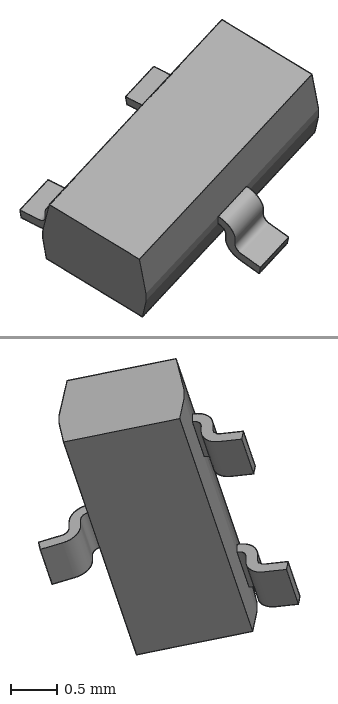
import cadquery as cq
import math

span_x = 2.54
total_height = 1.15

housing_length = 3.1
waist_width = 1.398
top_width = 1.218
bottom_width = 1.3
housing_height = 1.023
upper_height = 0.56

lead_thickness = 0.13
lead_width = 0.508
lead_pitch = 1.897
inner_radius = 0.1
foot_angle = 8.0

waist_top = total_height - upper_height
waist_bottom = waist_top - lead_thickness
housing_bottom = total_height - housing_height
outer_radius = inner_radius + lead_thickness


def make_housing():
    """Block with an upright waist and sides tapering toward top and bottom."""
    right_side = [
        (bottom_width / 2, housing_bottom),
        (waist_width / 2, waist_bottom),
        (waist_width / 2, waist_top),
        (top_width / 2, total_height),
    ]
    left_side = [(-x, z) for x, z in reversed(right_side)]
    return (
        cq.Workplane("XZ")
        .polyline(right_side + left_side)
        .close()
        .extrude(housing_length / 2, both=True)
    )


def arc_point(center, radius, angle):
    """Point on a circle; the angle is in degrees from +X toward +Z."""
    turn = math.radians(angle)
    return (center[0] + radius * math.cos(turn), center[1] + radius * math.sin(turn))


def make_lead():
    """Gull-wing lead leaving the +X side of the housing, centred on Y = 0."""
    slope = math.radians(foot_angle)
    foot_end = 270 - foot_angle
    foot_middle = (180 + foot_end) / 2

    shoulder = (waist_width / 2, waist_top - outer_radius)
    bend_x = shoulder[0] + outer_radius + inner_radius
    foot_length = (span_x / 2 - bend_x + inner_radius * math.sin(slope)) / math.cos(slope)
    bend_z = outer_radius * math.cos(slope) + foot_length * math.sin(slope)
    bend = (bend_x, bend_z)

    foot_top = arc_point(bend, inner_radius, foot_end)
    foot_underside = arc_point(bend, outer_radius, foot_end)
    tip_top = arc_point(foot_top, foot_length, -foot_angle)
    tip_underside = arc_point(foot_underside, foot_length, -foot_angle)

    return (
        cq.Workplane("XZ")
        .moveTo(*arc_point(shoulder, outer_radius, 90))
        .threePointArc(arc_point(shoulder, outer_radius, 45), arc_point(shoulder, outer_radius, 0))
        .lineTo(*arc_point(bend, inner_radius, 180))
        .threePointArc(arc_point(bend, inner_radius, foot_middle), foot_top)
        .lineTo(*tip_top)
        .lineTo(*tip_underside)
        .lineTo(*foot_underside)
        .threePointArc(arc_point(bend, outer_radius, foot_middle), arc_point(bend, outer_radius, 180))
        .lineTo(*arc_point(shoulder, inner_radius, 0))
        .threePointArc(arc_point(shoulder, inner_radius, 45), arc_point(shoulder, inner_radius, 90))
        .close()
        .extrude(lead_width / 2, both=True)
    )


housing = make_housing()

lead_places = [(0, 0), (180, -lead_pitch / 2), (180, lead_pitch / 2)]
leads = []
for turn_about_z, y in lead_places:
    lead = make_lead().rotate((0, 0, 0), (0, 0, 1), turn_about_z).translate((0, y, 0))
    leads.append(lead.val())

result = cq.Compound.makeCompound([housing.val(), *leads])